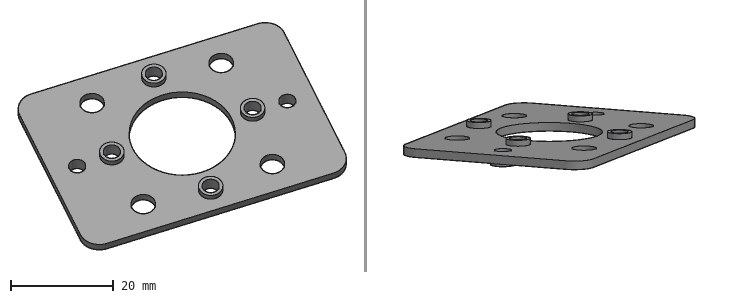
import cadquery as cq

width = 39.9
length = 55.3
total_height = 4.05
boss_height = 1.15
thickness = total_height - 2 * boss_height
corner_radius = 4.0

center_bore_diameter = 20.6
mount_hole_diameter = 4.75
mount_hole_offset = 13.5
boss_diameter = 4.75
boss_hole_diameter = 3.3
side_boss_x = 15.0
end_boss_y = 14.7
lower_boss_y = 21.95

mount_points = [
    (x, y)
    for x in (-mount_hole_offset, mount_hole_offset)
    for y in (-mount_hole_offset, mount_hole_offset)
]
upper_boss_points = [(-side_boss_x, 0), (side_boss_x, 0), (0, -end_boss_y), (0, end_boss_y)]
lower_boss_points = [(0, -lower_boss_y), (0, lower_boss_y)]


def cylinders(points, diameter, bottom, height):
    """Upright cylinders standing on the level `bottom`."""
    return cq.Workplane("XY", origin=(0, 0, bottom)).pushPoints(points).circle(diameter / 2).extrude(height)


def through_holes(points, diameter):
    """Cutters spanning the plate and the bosses on both faces."""
    return cylinders(points, diameter, -boss_height, total_height)


plate = cq.Workplane("XY").rect(width, length).extrude(thickness).edges("|Z").fillet(corner_radius)

result = plate.union(cylinders(upper_boss_points, boss_diameter, thickness, boss_height))
result = result.union(cylinders(lower_boss_points, boss_diameter, -boss_height, boss_height))

result = result.cut(through_holes([(0, 0)], center_bore_diameter))
result = result.cut(through_holes(mount_points, mount_hole_diameter))
result = result.cut(through_holes(upper_boss_points + lower_boss_points, boss_hole_diameter))